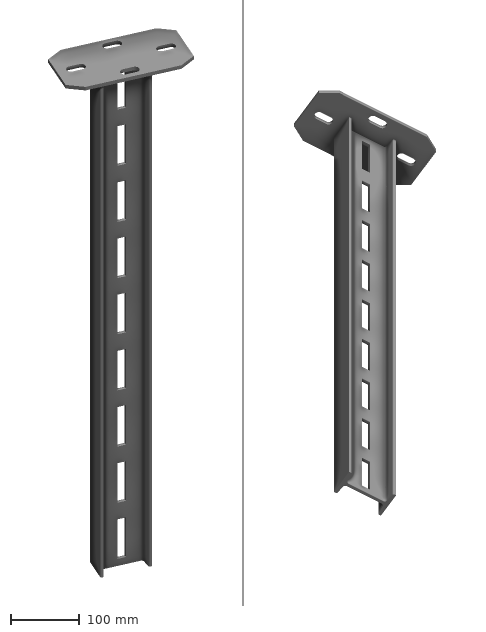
import cadquery as cq

TOTAL_HEIGHT = 902.5

PLATE_WIDTH = 100.0
PLATE_LENGTH = 200.0
PLATE_THICKNESS = 6.0
CORNER_CUT_X = 15.0
CORNER_CUT_Y = 25.0

PLATE_SLOT_LENGTH = 30.0
PLATE_SLOT_WIDTH = 13.5
SLOT_OFFSET_X = 35.0
SLOT_OFFSET_Y = 70.0

BEAM_HEIGHT = TOTAL_HEIGHT - PLATE_THICKNESS
BEAM_DEPTH = 80.0
FLANGE_WIDTH = 42.0
FLANGE_TIP_THICKNESS = 5.0
FLANGE_ROOT_THICKNESS = 6.8
WEB_THICKNESS = 5.0
ROOT_RADIUS = 4.1
TIP_RADIUS = 2.3

WEB_SLOT_COUNT = 9
WEB_SLOT_LENGTH = 70.0
WEB_SLOT_WIDTH = 13.5
LOWEST_SLOT_CENTER = 48.0
HIGHEST_SLOT_CENTER = 848.0
WEB_SLOT_PITCH = (HIGHEST_SLOT_CENTER - LOWEST_SLOT_CENTER) / (WEB_SLOT_COUNT - 1)


def make_head_plate():
    """Plate with four cut corners and four round-ended fixing slots."""
    half_x = PLATE_WIDTH / 2
    half_y = PLATE_LENGTH / 2
    short_x = half_x - CORNER_CUT_X
    short_y = half_y - CORNER_CUT_Y
    outline = [
        (half_x, -short_y),
        (half_x, short_y),
        (short_x, half_y),
        (-short_x, half_y),
        (-half_x, short_y),
        (-half_x, -short_y),
        (-short_x, -half_y),
        (short_x, -half_y),
    ]
    slot_centers = [
        (SLOT_OFFSET_X, 0),
        (-SLOT_OFFSET_X, 0),
        (0, SLOT_OFFSET_Y),
        (0, -SLOT_OFFSET_Y),
    ]
    beam_top = cq.Workplane("XY").workplane(offset=BEAM_HEIGHT)
    plate = beam_top.polyline(outline).close().extrude(PLATE_THICKNESS)
    slots = (
        cq.Workplane("XY")
        .workplane(offset=BEAM_HEIGHT)
        .pushPoints(slot_centers)
        .slot2D(PLATE_SLOT_LENGTH, PLATE_SLOT_WIDTH, angle=90)
        .extrude(PLATE_THICKNESS)
    )
    return plate.cut(slots)


def round_upright_edges(body, points, radius):
    """Fillet the vertical edges of the beam that pass through the given XY points."""
    for x, y in points:
        nearest = cq.selectors.NearestToPointSelector((x, y, BEAM_HEIGHT / 2))
        body = body.edges("|Z").edges(nearest).fillet(radius)
    return body


def make_beam_profile():
    """Solid I-section beam standing on the XY plane, flanges facing +Y and -Y."""
    half_width = FLANGE_WIDTH / 2
    half_depth = BEAM_DEPTH / 2
    half_web = WEB_THICKNESS / 2
    tip_y = half_depth - FLANGE_TIP_THICKNESS
    root_y = half_depth - FLANGE_ROOT_THICKNESS
    outline = [
        (half_width, half_depth),
        (-half_width, half_depth),
        (-half_width, tip_y),
        (-half_web, root_y),
        (-half_web, -root_y),
        (-half_width, -tip_y),
        (-half_width, -half_depth),
        (half_width, -half_depth),
        (half_width, -tip_y),
        (half_web, -root_y),
        (half_web, root_y),
        (half_width, tip_y),
    ]
    root_points = [(x, y) for x in (-half_web, half_web) for y in (-root_y, root_y)]
    tip_points = [(x, y) for x in (-half_width, half_width) for y in (-tip_y, tip_y)]
    beam = cq.Workplane("XY").polyline(outline).close().extrude(BEAM_HEIGHT)
    beam = round_upright_edges(beam, root_points, ROOT_RADIUS)
    return round_upright_edges(beam, tip_points, TIP_RADIUS)


def cut_web_slots(beam):
    """Cut the evenly spaced rectangular slots through the web."""
    for index in range(WEB_SLOT_COUNT):
        center_z = LOWEST_SLOT_CENTER + index * WEB_SLOT_PITCH
        slot = cq.Workplane("XY").box(FLANGE_WIDTH, WEB_SLOT_WIDTH, WEB_SLOT_LENGTH)
        beam = beam.cut(slot.translate((0, 0, center_z)))
    return beam


head_plate = make_head_plate()
beam = cut_web_slots(make_beam_profile())
result = cq.Compound.makeCompound([head_plate.val(), beam.val()])